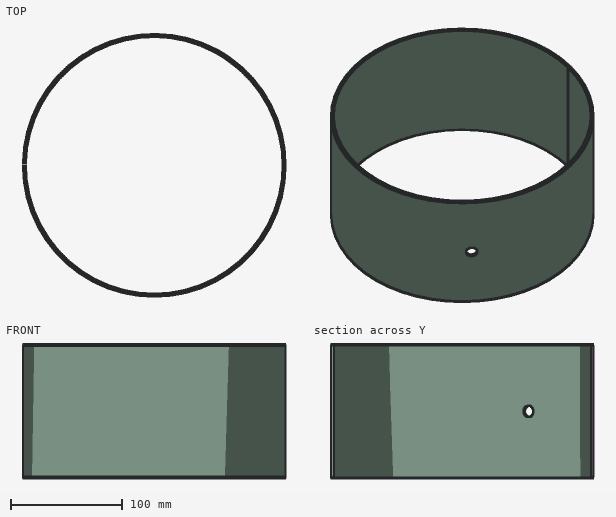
import cadquery as cq

outer_diameter = 235.0
height = 120.0
wall = 2.5

outer_bevel_height = 1.6
outer_bevel_width = 0.7

inner_chamfer = 1.0

slit_width = 1.9
slit_depth = 4 * wall

hole_diameter = 10.0
hole_angle = 59.0

outer_radius = outer_diameter / 2
inner_radius = outer_radius - wall


def bevelled_ring():
    profile = [
        (inner_radius, inner_chamfer),
        (inner_radius + inner_chamfer, 0),
        (outer_radius - outer_bevel_width, 0),
        (outer_radius, outer_bevel_height),
        (outer_radius, height - outer_bevel_height),
        (outer_radius - outer_bevel_width, height),
        (inner_radius + inner_chamfer, height),
        (inner_radius, height - inner_chamfer),
    ]
    return cq.Workplane("XZ").polyline(profile).close().revolve(360, (0, 0, 0), (0, 1, 0))


def slit_cutter():
    return (
        cq.Workplane("XY")
        .box(slit_depth, slit_width, height, centered=(True, False, False))
        .translate((-outer_radius, 0, 0))
    )


def hole_cutter():
    return (
        cq.Workplane("YZ")
        .center(0, height / 2)
        .circle(hole_diameter / 2)
        .extrude(outer_diameter)
        .rotate((0, 0, 0), (0, 0, 1), hole_angle)
    )


result = bevelled_ring().cut(slit_cutter()).cut(hole_cutter())